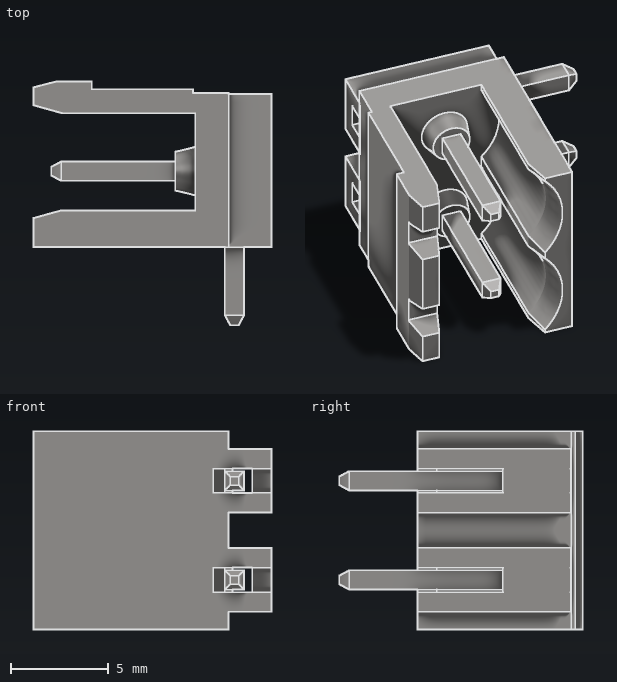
import cadquery as cq


pin_count = 2
housing_height = 10.16
pitch = housing_height / pin_count
row_heights = [(row + 0.5) * pitch for row in range(pin_count)]

body_length = 10.0
overall_length = 12.2
cavity_depth = 8.29
board_wall = 1.88
cavity_top = 6.85
body_back = 7.9

board_lead_length = 1.4
board_lead_drop = 0.39
latch_lead_length = 1.48
latch_lead_drop = 0.41

latch_back = 8.49
latch_bevel_length = 1.16
latch_bevel_drop = 0.3
latch_length = 2.99
step_back = 8.09
step_end = 8.19

notch_depth = 1.25
notch_mouth = 1.82
notch_floor = 1.35

pin_size = 1.0
pin_tip_size = 0.44
pin_taper = 0.52
pin_y = 3.89
pin_start = 0.9
tail_x = 10.3
tail_reach = 4.01

collar_base_diameter = 2.5
collar_tip_diameter = 2.0
collar_length = 1.02

scallop_mouth_radius = 3.36
scallop_radius = 2.98

foot_height = 3.28
foot_back = 7.85
slot_height = 1.25
recess_start = 9.22
recess_depth = 1.0
channel_start = tail_x - pin_size / 2
channel_depth = pin_y + pin_size / 2
window_start = 10.2
window_end = 11.2


def box(x_range, y_range, z_centre, height):
    """Block between two X and two Y limits, centred on a height."""
    length = x_range[1] - x_range[0]
    width = y_range[1] - y_range[0]
    corner = (x_range[0], y_range[0], z_centre - height / 2)
    return cq.Workplane("XY").box(length, width, height, centered=False).translate(corner)


def make_housing():
    """U-shaped section with lead-in slopes and the stepped latch wall."""
    outline = [
        (0, 0),
        (body_length, 0),
        (body_length, body_back),
        (step_end, body_back),
        (step_end, step_back),
        (latch_length, step_back),
        (latch_length, latch_back),
        (latch_bevel_length, latch_back),
        (0, latch_back - latch_bevel_drop),
        (0, cavity_top + latch_lead_drop),
        (latch_lead_length, cavity_top),
        (cavity_depth, cavity_top),
        (cavity_depth, board_wall),
        (board_lead_length, board_wall),
        (0, board_wall - board_lead_drop),
    ]
    return cq.Workplane("XY").polyline(outline).close().extrude(housing_height)


def make_notch(z):
    """Trapezoidal cutter through the mating end of the latch wall."""
    corners = [
        (0, z - notch_mouth / 2),
        (notch_depth, z - notch_floor / 2),
        (notch_depth, z + notch_floor / 2),
        (0, z + notch_mouth / 2),
    ]
    cutter = cq.Workplane("XZ", origin=(0, cavity_top, 0)).polyline(corners).close()
    return cutter.extrude(cavity_top - latch_back)


def make_scallop(z):
    """Funnel along the pin axis that hollows the board wall, then a straight bore to the cavity end."""
    half_section = [
        (0, 0),
        (cavity_depth, 0),
        (cavity_depth, -scallop_radius),
        (board_lead_length, -scallop_radius),
        (0, -scallop_mouth_radius),
    ]
    funnel = cq.Workplane("XY", origin=(0, pin_y, z)).polyline(half_section).close()
    funnel = funnel.revolve(360, (0, 0, 0), (1, 0, 0))
    return funnel.intersect(box((0, cavity_depth), (0, pin_y), z, pitch))


def make_tail_opening(z):
    """Recess, pin channel and through window behind the board face."""
    recess = box((recess_start, channel_start), (0, recess_depth), z, slot_height)
    channel = box((channel_start, overall_length), (0, channel_depth), z, slot_height)
    window = box((window_start, window_end), (0, foot_back), z, slot_height)
    return recess.union(channel).union(window)


def make_collar(z):
    """Cone frustum standing on the cavity end wall."""
    return cq.Workplane(
        cq.Solid.makeCone(
            collar_base_diameter / 2,
            collar_tip_diameter / 2,
            collar_length,
            pnt=cq.Vector(cavity_depth, pin_y, z),
            dir=cq.Vector(-1, 0, 0),
        )
    )


def make_pin_leg(plane, bend_to_tip):
    """Square leg from the outer corner of the bend to a tapered tip, along the plane's normal."""
    shank = cq.Workplane(plane).workplane(offset=-pin_size / 2).rect(pin_size, pin_size)
    shank = shank.extrude(bend_to_tip - pin_taper + pin_size / 2)
    tip = cq.Workplane(plane).workplane(offset=bend_to_tip - pin_taper).rect(pin_size, pin_size)
    tip = tip.workplane(offset=pin_taper).rect(pin_tip_size, pin_tip_size).loft()
    return shank.union(tip)


def make_pin(z):
    """Right-angle pin: contact leg towards -X, tail towards -Y."""
    bend = (tail_x, pin_y, z)
    contact = make_pin_leg(cq.Plane(bend, xDir=(0, 1, 0), normal=(-1, 0, 0)), tail_x - pin_start)
    tail = make_pin_leg(cq.Plane(bend, xDir=(1, 0, 0), normal=(0, -1, 0)), pin_y + tail_reach)
    return contact.union(tail)


result = make_housing()
for z in row_heights:
    foot = box((body_length, overall_length), (0, foot_back), z, foot_height)
    result = result.union(foot)
    result = result.cut(make_notch(z)).cut(make_scallop(z)).cut(make_tail_opening(z))
    result = result.union(make_collar(z)).union(make_pin(z))